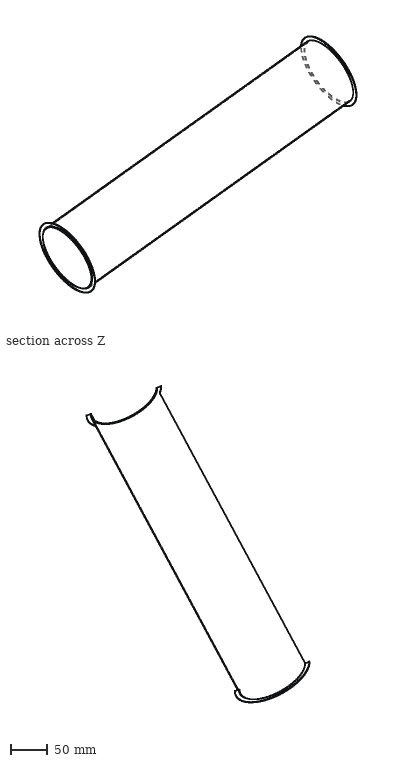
import cadquery as cq

length = 488.0
bore_diameter = 99.0
tube_diameter = 101.0
flange_diameter = 113.0
flange_thickness = (tube_diameter - bore_diameter) / 2


def ring(outer_diameter, start_y, depth):
    """Return a ring around the Y axis, running from start_y towards +Y."""
    return (
        cq.Workplane("XZ", origin=(0, start_y, 0))
        .circle(outer_diameter / 2)
        .circle(bore_diameter / 2)
        .extrude(-depth)
    )


result = ring(tube_diameter, -length / 2, length)

for flange_start in (-length / 2, length / 2 - flange_thickness):
    result = result.union(ring(flange_diameter, flange_start, flange_thickness))